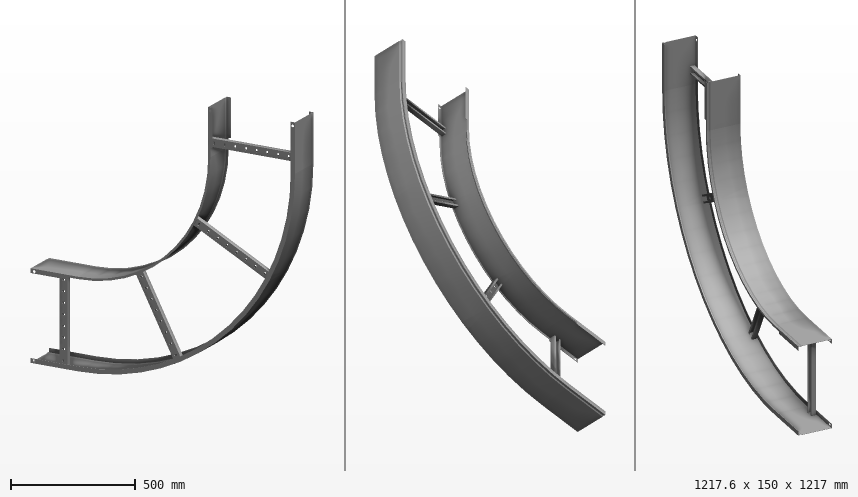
import cadquery as cq
import math

outer_radius = 1000.0
ladder_width = 400.0
inner_radius = outer_radius - ladder_width
start_run = 217.6
end_run = 217.0
centre_x = start_run
centre_z = outer_radius
end_z = centre_z + end_run

rail_depth = 150.0
sheet = 1.5
flange_width = 20.0
bead_centre = 140.0
bead_base = 12.0
bead_crest = 3.5
bead_height = 3.0

narrow_flange = 10.0
wide_flange_run = 172.0

coupling_hole = 12.0
coupling_from_end = 16.0
coupling_from_web = 11.0

rung_width = 36.0
rung_front = 5.0
rung_depth = 21.0
rung_sheet = 2.0
rung_lip = 8.0
first_rung_from_end = 149.0
last_rung_from_end = 150.0
bend_rung_angle = 27.5

rung_slot_length = 14.0
rung_slot_width = 8.0
rung_slot_count = 8
rung_slot_pitch = 49.0
first_slot_from_outer = 32.5


def bend_path(radius, trim=0.0):
    """Line, quarter arc, line at a given bend radius, shortened by trim at both ends."""
    level = centre_z - radius
    diagonal = radius * math.sqrt(0.5)
    return (
        cq.Workplane("XZ")
        .moveTo(trim, level)
        .lineTo(centre_x, level)
        .threePointArc(
            (centre_x + diagonal, centre_z - diagonal),
            (centre_x + radius, centre_z),
        )
        .lineTo(centre_x + radius, end_z - trim)
    )


def sweep_section(section, radius, inward, trim=0.0):
    """Sweep (y, distance into the channel) points along the bend; inward is +1 or -1 along Z."""
    level = centre_z - radius
    points = [(y, level + inward * depth) for y, depth in section]
    profile = cq.Workplane("YZ", origin=(trim, 0, 0)).polyline(points).close()
    return profile.sweep(bend_path(radius, trim))


def web_line(depth):
    """Web surface at a given depth, from the front toward the back, stepping over the bead."""
    return [
        (bead_centre - bead_base / 2, depth),
        (bead_centre - bead_crest / 2, depth + bead_height),
        (bead_centre + bead_crest / 2, depth + bead_height),
        (bead_centre + bead_base / 2, depth),
    ]


def channel_section():
    outside = [(0, flange_width), (0, 0)] + web_line(0) + [(rail_depth, 0), (rail_depth, flange_width)]
    inside = [(sheet, flange_width), (sheet, sheet)] + web_line(sheet)
    inside += [(rail_depth - sheet, sheet), (rail_depth - sheet, flange_width)]
    return outside + inside[::-1]


def coupling_holes(radius, inward):
    """Cutters through the front flange, one near each end of a rail."""
    flange_radius = radius - inward * coupling_from_web
    places = [
        (coupling_from_end, centre_z - flange_radius),
        (centre_x + flange_radius, end_z - coupling_from_end),
    ]
    return cq.Workplane("XZ").pushPoints(places).circle(coupling_hole / 2).extrude(-sheet)


def outer_rail_blank():
    rail = sweep_section(channel_section(), outer_radius, 1)
    return rail.cut(coupling_holes(outer_radius, 1))


def inner_rail_blank():
    rail = sweep_section(channel_section(), inner_radius, -1)
    excess = [
        (0, narrow_flange),
        (rail_depth, narrow_flange),
        (rail_depth, flange_width),
        (0, flange_width),
    ]
    rail = rail.cut(sweep_section(excess, inner_radius, -1, wide_flange_run))
    return rail.cut(coupling_holes(inner_radius, -1))


def ladder_envelope():
    """Space between the outside faces of both webs, which trims the rung ends."""
    section = [(0, 0), (rail_depth, 0), (rail_depth, ladder_width), (0, ladder_width)]
    return sweep_section(section, outer_radius, 1)


def straight_rung():
    """Rung below the origin, along Z from the outer rail to the inner; the origin is the bend centre."""
    half = rung_width / 2
    back = rung_front + rung_depth
    right_half = [
        (half, rung_front),
        (half, back),
        (half - rung_lip, back),
        (half - rung_lip, back - rung_sheet),
        (half - rung_sheet, back - rung_sheet),
        (half - rung_sheet, rung_front + rung_sheet),
    ]
    left_half = [(-x, y) for x, y in reversed(right_half)]
    overlength = rung_width
    rung = (
        cq.Workplane("XY", origin=(0, 0, -outer_radius - overlength))
        .polyline(right_half + left_half)
        .close()
        .extrude(ladder_width + 2 * overlength)
    )
    slots = [
        (0, first_slot_from_outer + index * rung_slot_pitch - outer_radius)
        for index in range(rung_slot_count)
    ]
    cutters = (
        cq.Workplane("XZ", origin=(0, rung_front, 0))
        .pushPoints(slots)
        .slot2D(rung_slot_length, rung_slot_width)
        .extrude(-rung_sheet)
    )
    return rung.cut(cutters)


def place_rung(angle, shift_x, shift_z):
    """Turn a rung about the bend axis, slide it along its straight and trim its ends."""
    rung = straight_rung().rotate((0, 0, 0), (0, 1, 0), -angle)
    rung = rung.translate((centre_x + shift_x, 0, centre_z + shift_z))
    return rung.intersect(ladder_envelope())


rung_places = [
    (0, first_rung_from_end - start_run, 0),
    (bend_rung_angle, 0, 0),
    (90 - bend_rung_angle, 0, 0),
    (90, 0, end_run - last_rung_from_end),
]
rungs = [place_rung(*place) for place in rung_places]

outer_rail = outer_rail_blank()
inner_rail = inner_rail_blank()
for rung in rungs:
    outer_rail = outer_rail.cut(rung)
    inner_rail = inner_rail.cut(rung)

result = cq.Compound.makeCompound(
    [outer_rail.val(), inner_rail.val(), *[rung.val() for rung in rungs]]
)